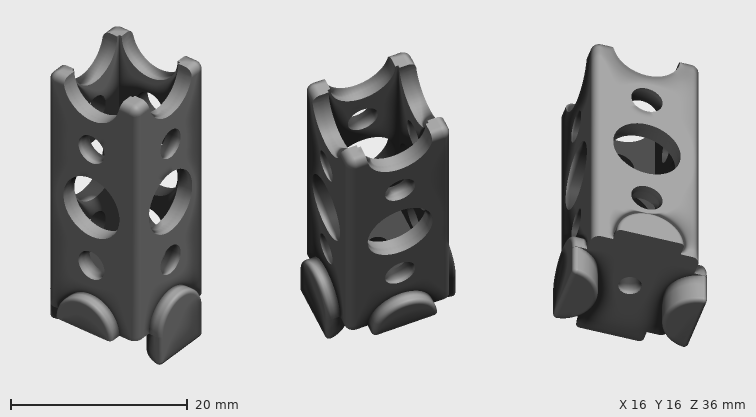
import cadquery as cq

total_height = 36.0
overall_width = 16.0
tower_width = 12.75
wall = 2.0
floor_thickness = 5.0
corner_radius = 1.0
boss_edge_radius = 0.5
small_hole_diameter = 3.7
floor_hole_diameter = 2.65

pitch = total_height / 9
tower_height = 8 * pitch
round_radius = pitch
leg_length = pitch
small_hole_heights = (2 * pitch, 6 * pitch)
large_hole_height = 4 * pitch
cavity_width = tower_width - 2 * wall


def make_tower():
    """Square tube with a floor, rounded outside on its corners and top rim."""
    tower = cq.Workplane("XY").box(tower_width, tower_width, tower_height, centered=(True, True, False))
    tower = tower.edges("|Z or >Z").fillet(corner_radius)
    cavity = (
        cq.Workplane("XY")
        .workplane(offset=floor_thickness)
        .rect(cavity_width, cavity_width)
        .extrude(tower_height)
    )
    floor_hole = cq.Workplane("XY").circle(floor_hole_diameter / 2).extrude(floor_thickness)
    return tower.cut(cavity).cut(floor_hole)


def cross_hole(plane, height, radius):
    """Cylinder through both walls that face along the plane normal."""
    return cq.Workplane(plane).center(0, height).circle(radius).extrude(overall_width, both=True)


def make_boss():
    """Half disc on the +X wall, rounded around its outer face."""
    return (
        cq.Workplane("YZ")
        .workplane(offset=cavity_width / 2)
        .moveTo(-round_radius, 0)
        .threePointArc((0, round_radius), (round_radius, 0))
        .close()
        .extrude((overall_width - cavity_width) / 2)
        .faces(">X")
        .edges("%CIRCLE")
        .fillet(boss_edge_radius)
    )


def make_leg():
    """Half-round leg below the +X boss: flat outside, curved towards the centre."""
    outer_x = overall_width / 2
    leg = (
        cq.Workplane("XY")
        .moveTo(outer_x, -round_radius)
        .threePointArc((outer_x - round_radius, 0), (outer_x, round_radius))
        .close()
        .extrude(-leg_length)
    )
    return leg.edges("|Z or <Z").fillet(boss_edge_radius)


result = make_tower()

for wall_plane in ("XZ", "YZ"):
    result = result.cut(cross_hole(wall_plane, tower_height, round_radius))
    result = result.cut(cross_hole(wall_plane, large_hole_height, round_radius))
    for hole_height in small_hole_heights:
        result = result.cut(cross_hole(wall_plane, hole_height, small_hole_diameter / 2))

boss = make_boss()
for angle in (0, 90, 180, 270):
    result = result.union(boss.rotate((0, 0, 0), (0, 0, 1), angle))

leg = make_leg()
for angle in (0, 180):
    result = result.union(leg.rotate((0, 0, 0), (0, 0, 1), angle))